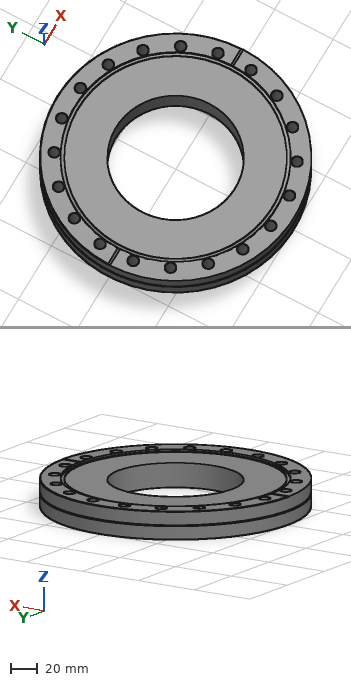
import cadquery as cq

flange_diameter = 202.5
flange_height = 22.0
bore_diameter = 101.7
edge_chamfer = 0.5

rim_groove_width = 1.0
rim_groove_depth = 0.5

top_recess_diameter = 171.5
bottom_recess_diameter = 120.7
lip_inset = 2.8
lip_drop = 0.6
recess_depth = 1.6
inner_floor_depth = 1.52

bolt_count = 20
bolt_hole_diameter = 8.3
bolt_hole_chamfer = 0.25
bolt_circle_diameter = 181.0

slot_diameter = 4.0
slot_depth = 0.22

flange_radius = flange_diameter / 2


def revolve_profile(points, angle=360):
    """Turn a closed (radius, height) outline around the Z axis, starting from +X."""
    return cq.Workplane("XZ").polyline(points).close().revolve(angle, (0, 0), (0, 1))


def make_blank():
    """Plain ring with a bevelled bottom edge and the groove around its rim."""
    bore_radius = bore_diameter / 2
    middle = flange_height / 2
    half_groove = rim_groove_width / 2
    return revolve_profile([
        (bore_radius, 0),
        (flange_radius - edge_chamfer, 0),
        (flange_radius, edge_chamfer),
        (flange_radius, middle - half_groove),
        (flange_radius - rim_groove_depth, middle),
        (flange_radius, middle + half_groove),
        (flange_radius, flange_height),
        (bore_radius, flange_height),
    ])


def make_seal_recess(diameter, face_height, inward):
    """Recess cut from a face; inward is -1 to cut down and +1 to cut up."""
    outer_radius = diameter / 2
    lip_radius = outer_radius - lip_inset
    return revolve_profile([
        (0, face_height),
        (outer_radius, face_height),
        (outer_radius, face_height + inward * recess_depth),
        (lip_radius, face_height + inward * lip_drop),
        (lip_radius, face_height + inward * inner_floor_depth),
        (0, face_height + inward * inner_floor_depth),
    ])


def make_half_chamfer():
    """Ring that bevels the top rim edge, on the +Y half only."""
    return revolve_profile(
        [
            (flange_radius - edge_chamfer, flange_height),
            (flange_radius, flange_height),
            (flange_radius, flange_height - edge_chamfer),
        ],
        angle=180,
    )


def make_bolt_holes():
    """Through holes with a small chamfer at the top face."""
    bolt_hole_radius = bolt_hole_diameter / 2
    one_hole = revolve_profile([
        (0, 0),
        (bolt_hole_radius, 0),
        (bolt_hole_radius, flange_height - bolt_hole_chamfer),
        (bolt_hole_radius + bolt_hole_chamfer, flange_height),
        (0, flange_height),
    ]).val()
    half_pitch = 360 / bolt_count / 2
    return (
        cq.Workplane("XY")
        .polarArray(bolt_circle_diameter / 2, half_pitch, 360, bolt_count)
        .eachpoint(one_hole)
    )


def make_leak_slots():
    """One long cylinder that grazes the top face on both sides of the recess."""
    axis_height = flange_height - slot_depth + slot_diameter / 2
    return (
        cq.Workplane("YZ")
        .center(0, axis_height)
        .circle(slot_diameter / 2)
        .extrude(flange_radius, both=True)
    )


result = (
    make_blank()
    .cut(make_seal_recess(top_recess_diameter, flange_height, -1))
    .cut(make_seal_recess(bottom_recess_diameter, 0, 1))
    .cut(make_half_chamfer())
    .cut(make_bolt_holes())
    .cut(make_leak_slots())
)